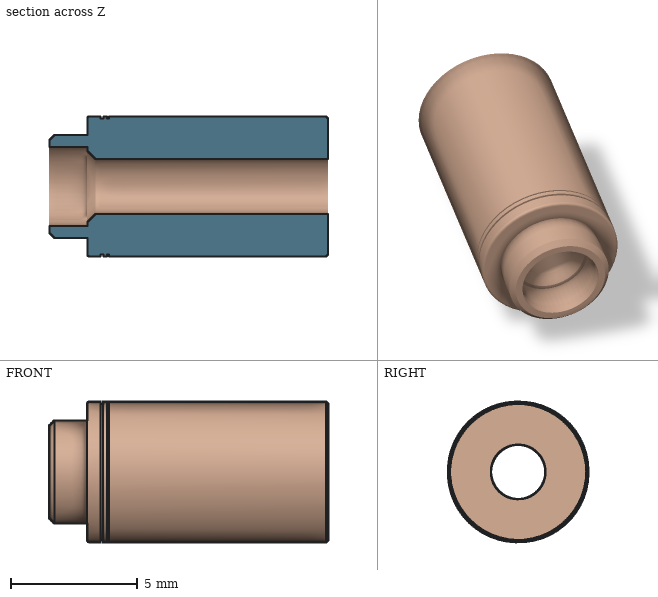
import cadquery as cq

total_length = 11.05
nose_length = 1.5
nose_chamfer = 0.21
shoulder_fillet = 0.1
end_chamfer = 0.09
groove_depth = 0.08
first_groove_start = 2.03
first_groove_width = 0.1
second_groove_start = 2.3
second_groove_width = 0.07

body_radius = 2.78
nose_radius = 2.04
counterbore_radius = 1.56
bore_entry_radius = 1.41
bore_radius = 1.07

counterbore_depth = nose_length

taper_length = bore_entry_radius - bore_radius


def cylinder(radius, start, length):
    """Solid cylinder about the X axis, beginning at x = start."""
    return cq.Workplane("YZ", origin=(start, 0, 0)).circle(radius).extrude(length)


def cut_groove(part, start, width):
    """Cut a shallow square groove around the body."""
    ring = cylinder(body_radius, start, width)
    ring = ring.cut(cylinder(body_radius - groove_depth, start, width))
    return part.cut(ring)


nose = cylinder(nose_radius, 0, nose_length).faces("<X").chamfer(nose_chamfer)
body = cylinder(body_radius, nose_length, total_length - nose_length)
body = body.faces("<X").edges().fillet(shoulder_fillet)
body = body.faces(">X").chamfer(end_chamfer)
part = nose.union(body)

part = cut_groove(part, first_groove_start, first_groove_width)
part = cut_groove(part, second_groove_start, second_groove_width)

part = part.cut(cylinder(counterbore_radius, 0, counterbore_depth))
through_bore = (
    cq.Workplane("XY")
    .moveTo(counterbore_depth, 0)
    .lineTo(counterbore_depth, bore_entry_radius)
    .lineTo(counterbore_depth + taper_length, bore_radius)
    .lineTo(total_length, bore_radius)
    .lineTo(total_length, 0)
    .close()
    .revolve(360, (0, 0, 0), (1, 0, 0))
)
result = part.cut(through_bore)